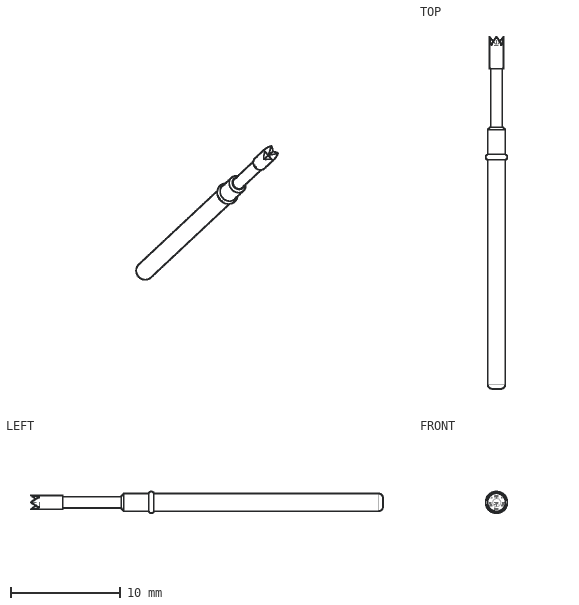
import cadquery as cq
import math

total_length = 32.3

barrel_radius = 0.825
barrel_length = 24.0
barrel_chamfer = 0.23
end_rounding = 0.45

collar_radius = 1.0
collar_position = 21.25
collar_bead_radius = 0.25

plunger_radius = 0.533
head_radius = 0.65
head_length = 2.95

groove_count = 2
groove_angle = 60.0
groove_depth = head_radius * math.sin(math.pi / 4) / math.tan(math.radians(groove_angle / 2))


def rod(radius, start, end):
    """Solid cylinder on the Y axis between two Y positions."""
    return cq.Workplane("XZ", origin=(0, start, 0)).circle(radius).extrude(start - end)


def barrel():
    """Tube body with a rounded rear end and a chamfered mouth."""
    body = rod(barrel_radius, 0, barrel_length)
    return body.faces("<Y").edges().fillet(end_rounding).faces(">Y").edges().chamfer(barrel_chamfer)


def collar():
    """Half-round press ring around the barrel."""
    bead_center = collar_radius - collar_bead_radius
    rear = collar_position - collar_bead_radius
    front = collar_position + collar_bead_radius
    return (
        cq.Workplane("XY")
        .moveTo(0, rear)
        .lineTo(bead_center, rear)
        .threePointArc((collar_radius, collar_position), (bead_center, front))
        .lineTo(0, front)
        .close()
        .revolve(360, (0, 0, 0), (0, 1, 0))
    )


def crown_groove(turn):
    """V-shaped cutter across the head, turned about the Y axis."""
    half_width = groove_depth * math.tan(math.radians(groove_angle / 2))
    return (
        cq.Workplane("XY")
        .moveTo(0, total_length - groove_depth)
        .lineTo(half_width, total_length)
        .lineTo(-half_width, total_length)
        .close()
        .extrude(2 * head_radius, both=True)
        .rotate((0, 0, 0), (0, 1, 0), turn)
    )


def crown_head():
    """Plunger head whose crossing diagonal grooves leave four points."""
    head = rod(head_radius, total_length - head_length, total_length)
    spacing = 180 / groove_count
    for index in range(groove_count):
        head = head.cut(crown_groove((index + 0.5) * spacing))
    return head


plunger = rod(plunger_radius, barrel_length - barrel_chamfer, total_length - head_length)
result = barrel().union(collar()).union(plunger).union(crown_head())